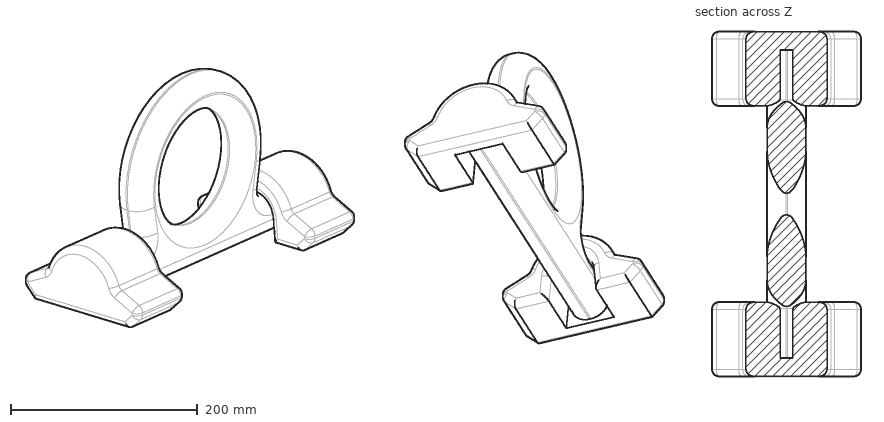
import cadquery as cq
import math

overall_length = 370.0
overall_height = 222.0

foot_width = 160.0
foot_length = 80.0
foot_base_width = 131.0
foot_lower_slope = 45.0
foot_shoulder_height = 25.5
foot_upper_slope = 25.0
dome_radius = 50.0
dome_axis_z = 27.0
foot_round = 8.0

recess_radius = 25.0
recess_flare = 5.0
recess_depth = 60.0

plate_thickness = 42.0
plate_round = 20.0
ring_outer_radius = 107.0
ring_inner_radius = 65.0
ring_center_z = overall_height - ring_outer_radius
plate_bottom = 5.0
arm_top = 51.0
neck_angle = 10.0
neck_radius = 12.0
plate_end = overall_length / 2 - foot_length + recess_depth


def foot_outline():
    """Closed XZ profile of a foot, symmetric about X = 0, standing on Z = 0."""
    half_width = foot_width / 2
    half_base = foot_base_width / 2
    side_bottom = (half_width - half_base) * math.tan(math.radians(foot_lower_slope))

    slope = math.tan(math.radians(foot_upper_slope))
    offset = foot_shoulder_height + slope * half_width - dome_axis_z
    slope_factor = 1 + slope**2
    root = math.sqrt(slope_factor * dome_radius**2 - offset**2)
    meet_x = (slope * offset + root) / slope_factor
    meet_z = dome_axis_z + offset - slope * meet_x

    return (
        cq.Workplane("XZ")
        .moveTo(-half_base, 0)
        .lineTo(half_base, 0)
        .lineTo(half_width, side_bottom)
        .lineTo(half_width, foot_shoulder_height)
        .lineTo(meet_x, meet_z)
        .threePointArc((0, dome_axis_z + dome_radius), (-meet_x, meet_z))
        .lineTo(-half_width, foot_shoulder_height)
        .lineTo(-half_width, side_bottom)
        .close()
    )


def foot_recess():
    """Arched cutter that starts at the inner face (Y = 0) and runs toward -Y."""
    flare = math.radians(recess_flare)
    spring_x = recess_radius * math.cos(flare)
    spring_z = dome_axis_z + recess_radius * math.sin(flare)
    ground_x = spring_x + spring_z * math.tan(flare)
    return (
        cq.Workplane("XZ")
        .moveTo(-ground_x, 0)
        .lineTo(ground_x, 0)
        .lineTo(spring_x, spring_z)
        .threePointArc((0, dome_axis_z + recess_radius), (-spring_x, spring_z))
        .close()
        .extrude(recess_depth)
    )


def make_foot():
    """Foot at the -Y end with its upper corners, both end faces and the recess mouth rounded."""
    foot = foot_outline().extrude(foot_length)
    above_ground = cq.selectors.BoxSelector(
        (-foot_width, -foot_length, foot_round),
        (foot_width, 0, overall_height),
    )
    foot = foot.edges("|Y").edges(above_ground).fillet(foot_round)
    foot = foot.cut(foot_recess())
    foot = foot.faces("<Y or >Y").edges().fillet(foot_round)
    return foot.translate((0, -overall_length / 2 + foot_length, 0))


def make_eye_plate():
    """Ring, necks and base bar in one plate, centred on X = 0, with all long edges rounded."""
    lean = math.radians(neck_angle)
    tangent_y = ring_outer_radius * math.cos(lean)
    tangent_z = ring_center_z - ring_outer_radius * math.sin(lean)

    corner_z = arm_top + neck_radius
    rise = corner_z - ring_center_z
    reach = ring_outer_radius + neck_radius
    corner_y = (reach + rise * math.sin(lean)) / math.cos(lean)
    neck_y = corner_y - neck_radius * math.cos(lean)
    neck_z = corner_z + neck_radius * math.sin(lean)
    mid_angle = (math.pi / 2 - lean) / 2
    mid_y = corner_y - neck_radius * math.cos(mid_angle)
    mid_z = corner_z - neck_radius * math.sin(mid_angle)

    plate = (
        cq.Workplane("YZ")
        .moveTo(-plate_end, plate_bottom)
        .lineTo(plate_end, plate_bottom)
        .lineTo(plate_end, arm_top)
        .lineTo(corner_y, arm_top)
        .threePointArc((mid_y, mid_z), (neck_y, neck_z))
        .lineTo(tangent_y, tangent_z)
        .threePointArc((0, overall_height), (-tangent_y, tangent_z))
        .lineTo(-neck_y, neck_z)
        .threePointArc((-mid_y, mid_z), (-corner_y, arm_top))
        .lineTo(-plate_end, arm_top)
        .close()
        .moveTo(0, ring_center_z)
        .circle(ring_inner_radius)
        .extrude(plate_thickness / 2, both=True)
    )
    return plate.faces("<X or >X").edges("not |Z").fillet(plate_round)


foot = make_foot()
result = make_eye_plate().union(foot).union(foot.mirror("XZ"))